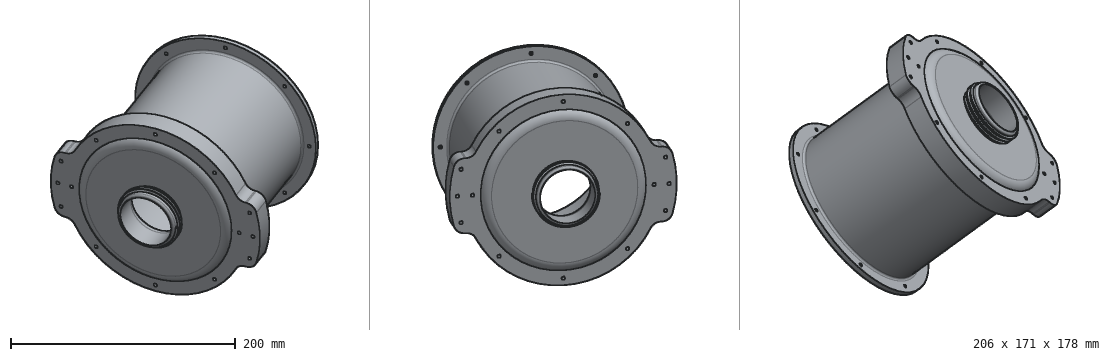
import cadquery as cq
import math


can_length = 156.0
can_radius = 75.0
wall = 3.0
end_wall = 16.5
end_rounding = 10.0
inner_radius = can_radius - wall

flange_radius = 89.0
rear_flange_thickness = 5.0
rear_flange_fillet = 2.0

front_flange_thickness = 20.0
front_flange_setback = 5.0
ear_tip_radius = 103.0
ear_half_height = 35.0
ear_fillet = 10.0

hole_diameter = 3.0
flange_hole_radius = 82.5
flange_hole_count = 8
ear_hole_radius = 96.0
ear_hole_angle = 15

spout_length = 15.0
spout_radius = 28.0
spout_tip_fillet = 2.0
bore_radius = 25.0
bore_inner_fillet = 10.0
thread_crest_radius = 30.0
thread_pitch = 4.0
thread_turns = 2.5
thread_start = 1.5
thread_root_width = 3.5
thread_crest_width = 0.6
thread_embed = 0.6


def disc(radius, rear, thickness):
    """Solid disc whose rear face is `rear` in front of the open end."""
    return cq.Workplane("XZ").workplane(offset=rear).circle(radius).extrude(thickness)


def polar(radius, degrees):
    angle = math.radians(degrees)
    return (radius * math.cos(angle), radius * math.sin(angle))


def revolve_about_can_axis(profile):
    return profile.close().revolve(360, (0, 0, 0), (0, 1, 0))


def make_can():
    """Solid can with a filleted rear flange and a rounded front end."""
    flange_front = rear_flange_thickness
    fillet_end = flange_front + rear_flange_fillet
    rounding_start = can_length - front_flange_setback
    rounding_width = math.sqrt(end_rounding**2 - (end_rounding - front_flange_setback) ** 2)
    profile = (
        cq.Workplane("XY")
        .lineTo(flange_radius, 0)
        .lineTo(flange_radius, -flange_front)
        .lineTo(can_radius + rear_flange_fillet, -flange_front)
        .radiusArc((can_radius, -fillet_end), -rear_flange_fillet)
        .lineTo(can_radius, -rounding_start)
        .radiusArc((can_radius - rounding_width, -can_length), end_rounding)
        .lineTo(0, -can_length)
    )
    return revolve_about_can_axis(profile)


def make_front_flange():
    """Round plate with two ears blended into it by equal roundings."""
    rear = can_length - front_flange_setback - front_flange_thickness
    plate = disc(flange_radius, rear, front_flange_thickness)

    inner_centre_z = ear_half_height + ear_fillet
    inner_centre_x = math.sqrt((flange_radius + ear_fillet) ** 2 - inner_centre_z**2)
    outer_centre_z = ear_half_height - ear_fillet
    outer_centre_x = math.sqrt((ear_tip_radius - ear_fillet) ** 2 - outer_centre_z**2)
    inner_angle = math.degrees(math.atan2(inner_centre_z, inner_centre_x))
    outer_angle = math.degrees(math.atan2(outer_centre_z, outer_centre_x))

    def arc_middle(x, y, start, end):
        dx, dy = polar(ear_fillet, (start + end) / 2)
        return (x + dx, y + dy)

    inner_start = polar(flange_radius, inner_angle)
    inner_middle = arc_middle(inner_centre_x, inner_centre_z, inner_angle - 180, -90)
    outer_middle = arc_middle(outer_centre_x, outer_centre_z, 90, outer_angle)
    outer_end = polar(ear_tip_radius, outer_angle)

    def below(point):
        return (point[0], -point[1])

    ear = (
        cq.Workplane("XZ")
        .workplane(offset=rear)
        .moveTo(*inner_start)
        .threePointArc(inner_middle, (inner_centre_x, ear_half_height))
        .lineTo(outer_centre_x, ear_half_height)
        .threePointArc(outer_middle, outer_end)
        .threePointArc((ear_tip_radius, 0), below(outer_end))
        .threePointArc(below(outer_middle), (outer_centre_x, -ear_half_height))
        .lineTo(inner_centre_x, -ear_half_height)
        .threePointArc(below(inner_middle), below(inner_start))
        .close()
        .extrude(front_flange_thickness)
    )
    return plate.union(ear).union(ear.mirror("YZ"))


def make_spout():
    """Solid spout, rooted in the end wall, with a rounded tip."""
    spout = disc(spout_radius, can_length - end_wall, end_wall + spout_length)
    return spout.faces("<Y").edges().fillet(spout_tip_fillet)


def make_thread():
    """Right-handed ridge that starts on the -X side near the end wall."""
    root_radius = spout_radius - thread_embed
    helix = cq.Wire.makeHelix(thread_pitch, thread_pitch * thread_turns, root_radius)
    ridge = (
        cq.Workplane("XZ")
        .polyline([
            (root_radius, -thread_root_width / 2),
            (thread_crest_radius, -thread_crest_width / 2),
            (thread_crest_radius, thread_crest_width / 2),
            (root_radius, thread_root_width / 2),
        ])
        .close()
        .sweep(cq.Workplane(helix), isFrenet=True)
    )
    ridge = ridge.rotate((0, 0, 0), (0, 0, 1), 180).rotate((0, 0, 0), (1, 0, 0), 90)
    return ridge.translate((0, -can_length - thread_start, 0))


def make_cavity():
    """Can interior and the spout bore, with a rounded edge where they meet."""
    inside_end = can_length - end_wall
    spout_tip = can_length + spout_length
    profile = (
        cq.Workplane("XY")
        .lineTo(inner_radius, 0)
        .lineTo(inner_radius, -inside_end)
        .lineTo(bore_radius + bore_inner_fillet, -inside_end)
        .radiusArc((bore_radius, -inside_end - bore_inner_fillet), -bore_inner_fillet)
        .lineTo(bore_radius, -spout_tip)
        .lineTo(0, -spout_tip)
    )
    return revolve_about_can_axis(profile)


def make_screw_holes():
    """Flange holes through both flanges, and three holes through each ear."""
    points = [
        polar(flange_hole_radius, i * 360 / flange_hole_count)
        for i in range(flange_hole_count)
    ]
    for side in (0, 180):
        for offset in (-ear_hole_angle, 0, ear_hole_angle):
            points.append(polar(ear_hole_radius, side + offset))
    return cq.Workplane("XZ").pushPoints(points).circle(hole_diameter / 2).extrude(can_length)


result = (
    make_can()
    .union(make_front_flange())
    .union(make_spout())
    .union(make_thread())
    .cut(make_cavity())
    .cut(make_screw_holes())
)